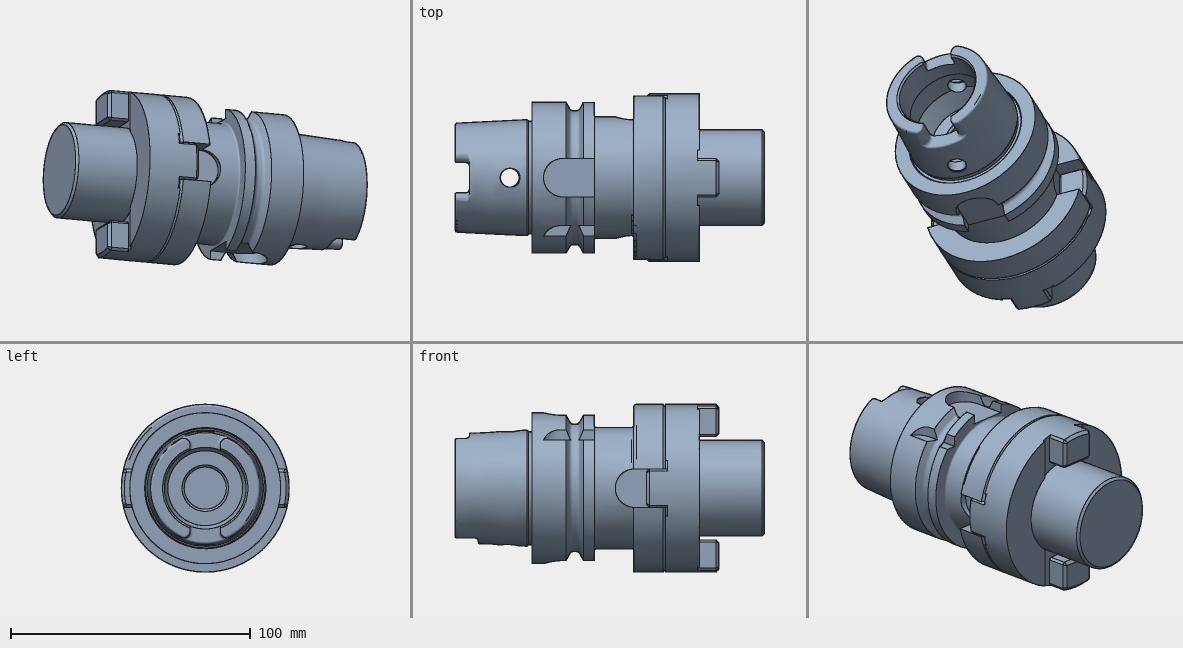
import cadquery as cq
import math

TOTAL_LENGTH = 129.0
TAPER_END = 30.0
GRIP_START = 32.0
GRIP_END = 58.0
COLLAR_START = 74.4
COLLAR_END = 87.7
RING_END = 101.9

NOSE_FILLET = 1.0
TAPER_RADIUS = 24.3
TAPER_SLOPE = 0.05
RELIEF_RADIUS = 23.6
RELIEF_MOUTH_RADIUS = 25.3
RELIEF_DEPTH = 0.4
GRIP_RADIUS = 31.5
NECK_RADIUS = 25.4
COLLAR_RADIUS = 35.02
PILOT_RADIUS = 20.0
NECK_START_FILLET = 0.8
NECK_END_FILLET = 0.8
COLLAR_FRONT_FILLET = 1.2
COLLAR_REAR_CHAMFER = 1.0
PILOT_CHAMFER = 1.0

GROOVE_X = 49.9
GROOVE_BOTTOM_RADIUS = 28.0
GROOVE_MOUTH_HALF = 3.6
GROOVE_SIDE_ANGLE = 30.0
GROOVE_FILLET = 1.4

MOUTH_RADIUS = 17.0
MOUTH_CHAMFER = 0.8
MOUTH_LENGTH = 12.9
CLAMP_RADIUS = 19.4
CLAMP_ANGLE = 30.0
CLAMP_END = 25.0
BORE_FLOOR_X = 33.5
BORE_FLOOR_RADIUS = 15.6
CORE_HOLE_RADIUS = 8.8
CORE_HOLE_DEPTH = 12.9
CORE_HOLE_CHAMFER = 0.9

NOTCH_HALF_WIDTH = 6.26
NOTCH_DEPTHS = {1: 5.9, -1: 9.7}
NOTCH_FLARE_TOP = 20.8
NOTCH_FLARE_RADIUS = 2.7
NOTCH_ROOT_FILLET = 1.4
NOTCH_EDGE_FILLET = 0.8

CROSS_HOLE_X = 22.8
CROSS_HOLE_RADIUS = 3.9
CROSS_HOLE_CHAMFER = 0.4

KEY_SLOT_START = 36.9
KEY_SLOT_FLOOR = 26.5
KEY_SLOT_WIDTHS = {1: 16.0, -1: 18.0}

CORNER_NOTCH_OFFSET = 20.0
CORNER_NOTCH_X = 44.0
CORNER_NOTCH_RADIUS = 8.0

LUG_WIDTH = 16.0
LUG_SIDE_CHAMFER = 0.9
LUG_TIP_CHAMFER = 1.3
LUG_SLOT_FLOOR = 22.6
LUG_SLOT_START = 66.8
REAR_LUG_START = 79.7
FRONT_LUG_END = 110.0
FRONT_LUG_INNER = 21.5
LUG_RELIEF_WIDTH = 3.6
LUG_RELIEF_DEPTH = 0.8


def revolve_profile(outline):
    """Turn a closed (x, radius) outline around the X axis."""
    return outline.close().revolve(360, (0, 0, 0), (1, 0, 0))


def taper_radius(x):
    return TAPER_RADIUS - TAPER_SLOPE * (TAPER_END - x)


def turned_body():
    outline = (
        cq.Workplane("XY")
        .moveTo(0, 0)
        .lineTo(0, taper_radius(NOSE_FILLET) - NOSE_FILLET)
        .radiusArc((NOSE_FILLET, taper_radius(NOSE_FILLET)), NOSE_FILLET)
        .lineTo(TAPER_END, TAPER_RADIUS)
        .lineTo(TAPER_END + TAPER_RADIUS - RELIEF_RADIUS, RELIEF_RADIUS)
        .lineTo(GRIP_START + RELIEF_DEPTH, RELIEF_RADIUS)
        .lineTo(GRIP_START + RELIEF_DEPTH, RELIEF_MOUTH_RADIUS - RELIEF_DEPTH)
        .lineTo(GRIP_START, RELIEF_MOUTH_RADIUS)
        .lineTo(GRIP_START, GRIP_RADIUS)
        .lineTo(GRIP_END, GRIP_RADIUS)
        .lineTo(GRIP_END, NECK_RADIUS + NECK_START_FILLET)
        .radiusArc((GRIP_END + NECK_START_FILLET, NECK_RADIUS), -NECK_START_FILLET)
        .lineTo(COLLAR_START, NECK_RADIUS)
        .lineTo(COLLAR_START, COLLAR_RADIUS)
        .lineTo(COLLAR_END - COLLAR_REAR_CHAMFER, COLLAR_RADIUS)
        .lineTo(COLLAR_END, COLLAR_RADIUS - COLLAR_REAR_CHAMFER)
        .lineTo(COLLAR_END, PILOT_RADIUS)
        .lineTo(TOTAL_LENGTH - PILOT_CHAMFER, PILOT_RADIUS)
        .lineTo(TOTAL_LENGTH, PILOT_RADIUS - PILOT_CHAMFER)
        .lineTo(TOTAL_LENGTH, 0)
    )
    return revolve_profile(outline)


def gripper_groove():
    side_run = (GRIP_RADIUS - GROOVE_BOTTOM_RADIUS) * math.tan(math.radians(GROOVE_SIDE_ANGLE))
    floor_half = GROOVE_MOUTH_HALF - side_run
    groove = revolve_profile(
        cq.Workplane("XY")
        .moveTo(GROOVE_X - GROOVE_MOUTH_HALF, GRIP_RADIUS)
        .lineTo(GROOVE_X - floor_half, GROOVE_BOTTOM_RADIUS)
        .lineTo(GROOVE_X + floor_half, GROOVE_BOTTOM_RADIUS)
        .lineTo(GROOVE_X + GROOVE_MOUTH_HALF, GRIP_RADIUS)
    )
    floor_edges = cq.selectors.RadiusNthSelector(0)
    return groove.edges("%CIRCLE").edges(floor_edges).fillet(GROOVE_FILLET)


def shank_bore():
    cone_run = (CLAMP_RADIUS - MOUTH_RADIUS) * math.tan(math.radians(CLAMP_ANGLE))
    core_end = BORE_FLOOR_X + CORE_HOLE_DEPTH
    outline = (
        cq.Workplane("XY")
        .moveTo(0, 0)
        .lineTo(0, MOUTH_RADIUS + MOUTH_CHAMFER)
        .lineTo(MOUTH_CHAMFER, MOUTH_RADIUS)
        .lineTo(MOUTH_LENGTH, MOUTH_RADIUS)
        .lineTo(MOUTH_LENGTH + cone_run, CLAMP_RADIUS)
        .lineTo(CLAMP_END, CLAMP_RADIUS)
        .lineTo(BORE_FLOOR_X, BORE_FLOOR_RADIUS)
        .lineTo(BORE_FLOOR_X, CORE_HOLE_RADIUS + CORE_HOLE_CHAMFER)
        .lineTo(BORE_FLOOR_X + CORE_HOLE_CHAMFER, CORE_HOLE_RADIUS)
        .lineTo(core_end, CORE_HOLE_RADIUS)
        .lineTo(core_end, 0)
    )
    return revolve_profile(outline)


def nose_notch(side):
    """Notch on the +Z or -Z side whose walls flare outwards, with a rounded root."""
    depth = NOTCH_DEPTHS[side]
    flare_start = NOTCH_FLARE_TOP - NOTCH_FLARE_RADIUS
    flare_half = NOTCH_HALF_WIDTH + NOTCH_FLARE_RADIUS
    outer_half = flare_half + NOTCH_FLARE_RADIUS
    inner_z = MOUTH_RADIUS - NOTCH_FLARE_RADIUS
    notch = (
        cq.Workplane("YZ")
        .moveTo(-NOTCH_HALF_WIDTH, inner_z)
        .lineTo(-NOTCH_HALF_WIDTH, flare_start)
        .radiusArc((-flare_half, NOTCH_FLARE_TOP), -NOTCH_FLARE_RADIUS)
        .lineTo(-outer_half, NOTCH_FLARE_TOP)
        .lineTo(-outer_half, TAPER_RADIUS)
        .lineTo(outer_half, TAPER_RADIUS)
        .lineTo(outer_half, NOTCH_FLARE_TOP)
        .lineTo(flare_half, NOTCH_FLARE_TOP)
        .radiusArc((NOTCH_HALF_WIDTH, flare_start), -NOTCH_FLARE_RADIUS)
        .lineTo(NOTCH_HALF_WIDTH, inner_z)
        .close()
        .extrude(depth)
    )
    margin = 0.1
    root_edges = cq.selectors.BoxSelector(
        (depth - margin, -outer_half + margin, inner_z + margin),
        (depth + margin, outer_half - margin, TAPER_RADIUS - margin),
    )
    notch = notch.edges(root_edges).fillet(NOTCH_ROOT_FILLET)
    return notch if side > 0 else notch.rotate((0, 0, 0), (1, 0, 0), 180)


def cross_hole():
    surface_z = taper_radius(CROSS_HOLE_X)
    mouth_radius = CROSS_HOLE_RADIUS + CROSS_HOLE_CHAMFER
    drill = cq.Workplane("XY").center(CROSS_HOLE_X, 0).circle(CROSS_HOLE_RADIUS).extrude(TAPER_RADIUS, both=True)
    for side in (1, -1):
        mouth = cq.Solid.makeCone(
            mouth_radius, CROSS_HOLE_RADIUS, CROSS_HOLE_CHAMFER,
            cq.Vector(CROSS_HOLE_X, 0, side * surface_z), cq.Vector(0, 0, -side),
        )
        drill = drill.union(cq.Workplane(mouth))
    return drill


def round_end_slot(start, end, width, floor, top):
    """Slot along X above the floor height, with its low-X end rounded."""
    radius = width / 2
    return (
        cq.Workplane("XY", origin=(0, 0, floor))
        .moveTo(end, -radius)
        .lineTo(start + radius, -radius)
        .threePointArc((start, 0), (start + radius, radius))
        .lineTo(end, radius)
        .close()
        .extrude(top - floor)
    )


def key_slot(side):
    slot = round_end_slot(KEY_SLOT_START, GRIP_END, KEY_SLOT_WIDTHS[side], KEY_SLOT_FLOOR, COLLAR_RADIUS)
    return slot if side > 0 else slot.rotate((0, 0, 0), (1, 0, 0), 180)


def corner_notch():
    return round_end_slot(
        CORNER_NOTCH_X - CORNER_NOTCH_RADIUS, GRIP_END, 2 * CORNER_NOTCH_RADIUS, CORNER_NOTCH_OFFSET, GRIP_RADIUS
    ).translate((0, -CORNER_NOTCH_OFFSET - CORNER_NOTCH_RADIUS, 0))


def lug_slot(side):
    slot = round_end_slot(LUG_SLOT_START, COLLAR_END, LUG_WIDTH, LUG_SLOT_FLOOR, COLLAR_RADIUS)
    return slot.rotate((0, 0, 0), (1, 0, 0), -90 * side)


def round_notch_edges(holder):
    """Round the edges where the notch walls meet the nose face."""

    def is_notch_edge(edge):
        return edge.geomType() != "CIRCLE" or edge.radius() < MOUTH_RADIUS

    return holder.faces("<X").edges().filter(is_notch_edge).fillet(NOTCH_EDGE_FILLET)


def smooth_collar_front(holder):
    """Fillet the neck root and round the rim of the collar's front face, on the +Z side only."""
    upper_half = cq.selectors.BoxSelector(
        (COLLAR_START - NECK_END_FILLET, -COLLAR_RADIUS, LUG_WIDTH),
        (COLLAR_START + NECK_END_FILLET, COLLAR_RADIUS, COLLAR_RADIUS),
    )
    neck_root = cq.selectors.RadiusNthSelector(0)
    rim = cq.selectors.RadiusNthSelector(-1)
    holder = holder.edges("%CIRCLE").edges(upper_half).edges(neck_root).fillet(NECK_END_FILLET)
    return holder.edges("%CIRCLE").edges(upper_half).edges(rim).fillet(COLLAR_FRONT_FILLET)


def make_holder():
    holder = turned_body().cut(gripper_groove()).cut(shank_bore())
    for side in (1, -1):
        holder = holder.cut(nose_notch(side))
    holder = round_notch_edges(holder)
    for side in (1, -1):
        holder = holder.cut(key_slot(side)).cut(lug_slot(side))
    holder = smooth_collar_front(holder)
    return holder.cut(cross_hole()).cut(corner_notch())


def chamfered_lug(root_x, tip_x, inner):
    """Lug on the +Z side, bounded outside by the ring radius, with every edge away from its root chamfered."""
    start = min(root_x, tip_x)
    length = abs(tip_x - root_x)
    rounded_blank = cq.Workplane("YZ", origin=(start, 0, 0)).circle(COLLAR_RADIUS).extrude(length)
    lug = (
        cq.Workplane("XY")
        .box(length, LUG_WIDTH, COLLAR_RADIUS, centered=(False, True, False))
        .translate((start, 0, inner))
        .intersect(rounded_blank)
    )
    tip_face = ">X" if tip_x > root_x else "<X"
    return lug.edges("|X").chamfer(LUG_SIDE_CHAMFER).faces(tip_face).chamfer(LUG_TIP_CHAMFER)


def lug_relief(face_x, root_x):
    """Shallow recess in a ring face, across the lug and a little beyond its sides."""
    width = LUG_WIDTH + 2 * LUG_RELIEF_WIDTH
    return (
        cq.Workplane("XY")
        .box(LUG_RELIEF_DEPTH, width, COLLAR_RADIUS, centered=(True, True, False))
        .translate(((face_x + root_x) / 2, 0, 0))
    )


def add_lug_pair(ring, face_x, tip_x, inner, first_angle):
    """Add two opposite lugs to one face of the ring, the first turned about X from +Z by the given angle."""
    root_x = face_x - math.copysign(LUG_RELIEF_DEPTH, tip_x - face_x)
    relief = lug_relief(face_x, root_x)
    lug = chamfered_lug(root_x, tip_x, inner)
    for angle in (first_angle, first_angle + 180):
        ring = ring.cut(relief.rotate((0, 0, 0), (1, 0, 0), angle))
        ring = ring.union(lug.rotate((0, 0, 0), (1, 0, 0), angle))
    return ring


def make_drive_ring():
    ring = (
        cq.Workplane("YZ", origin=(COLLAR_END, 0, 0))
        .circle(COLLAR_RADIUS)
        .circle(PILOT_RADIUS)
        .extrude(RING_END - COLLAR_END)
    )
    ring = add_lug_pair(ring, RING_END, FRONT_LUG_END, FRONT_LUG_INNER, 0)
    return add_lug_pair(ring, COLLAR_END, REAR_LUG_START, LUG_SLOT_FLOOR, 90)


holder = make_holder()
drive_ring = make_drive_ring()
result = cq.Compound.makeCompound([holder.val(), drive_ring.val()])